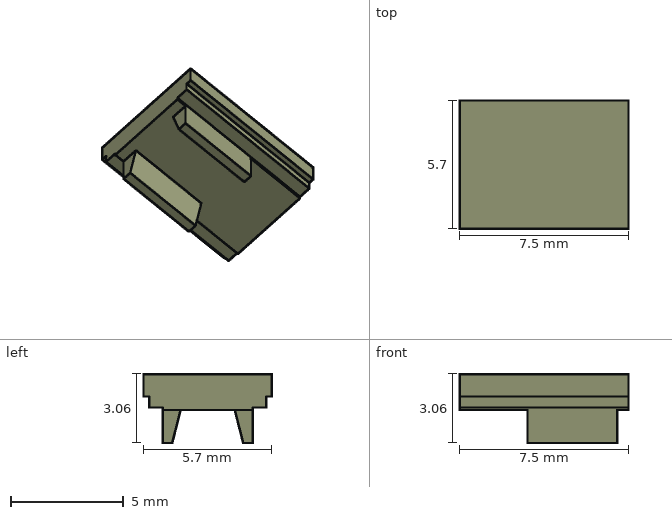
import cadquery as cq

length = 7.5
plate_width = 5.7
plate_height = 1.0

step_width = 5.2
step_height = 0.48
pad_width = 4.0
pad_height = 0.12

total_height = 3.06
leg_length = 4.0
leg_end_inset = 0.5
leg_root_width = 0.8
leg_tip_width = 0.43

plate_bottom = total_height - plate_height
step_bottom = plate_bottom - step_height
pad_bottom = step_bottom - pad_height


def layer(width, height, bottom):
    """Full-length rectangular layer centred on the Z axis."""
    return cq.Workplane("XY").workplane(offset=bottom).rect(length, width).extrude(height)


def leg(side):
    """Leg on the +Y (side = 1) or -Y (side = -1) edge, narrowing on its inner face."""
    outer_y = pad_width / 2
    profile = [
        (side * outer_y, 0),
        (side * outer_y, step_bottom),
        (side * (outer_y - leg_root_width), step_bottom),
        (side * (outer_y - leg_root_width), pad_bottom),
        (side * (outer_y - leg_tip_width), 0),
    ]
    leg_start_x = length / 2 - leg_end_inset - leg_length
    return (
        cq.Workplane("YZ")
        .workplane(offset=leg_start_x)
        .polyline(profile)
        .close()
        .extrude(leg_length)
    )


result = (
    layer(plate_width, plate_height, plate_bottom)
    .union(layer(step_width, step_height, step_bottom))
    .union(layer(pad_width, pad_height, pad_bottom))
)
for side in (-1, 1):
    result = result.union(leg(side))